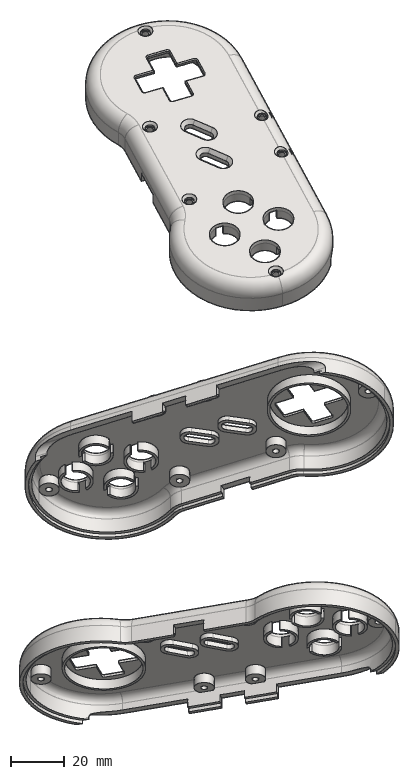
import cadquery as cq
import math


length = 145.5
height = 12.4
end_radius = 29.8
front_radius = 30.4
front_center_y = -0.7
front_edge_y = -25.5
blend_radius = 7.5
edge_fillet = 5.5
front_x = length / 2 - front_radius
side_x = front_x + math.sqrt(front_radius**2 - front_center_y**2)
end_x = side_x - end_radius

wall = 2.5
ceiling = 1.5
lip_wall = 1.3
lip_height = 1.5
inner_fillet = edge_fillet - wall

pad_x = -41.5
pad_span = 24.6
pad_arm = 8.7
pad_corner = 0.7
pad_chamfer = 0.5
pad_ring_outer = 31.1
pad_ring_inner = 29.2
ring_bottom = 6.8

button_x = 41.5
button_pitch_x = 13.5
button_pitch_y = 10.8
button_hole = 10.9
button_chamfer_width = 0.3
button_chamfer_depth = 1.5
button_ring_wall = 1.0
button_ring_outer = button_hole + 2 * button_ring_wall
key_slot = 3.0
buttons = [
    (button_x - button_pitch_x, 0, True),
    (button_x + button_pitch_x, 0, True),
    (button_x, button_pitch_y, False),
    (button_x, -button_pitch_y, False),
]

slot_centers_x = (-11.8, 3.8)
slot_angle = 38.0
slot_spacing = 7.7
slot_width = 4.0
slot_mouth = 7.0
slot_depth = 3.5
mouth_taper = 45

screw_points = [
    (-66.0, 0), (66.0, 0),
    (-10.0, 24.6), (10.0, 24.6),
    (-19.9, -16.5), (19.9, -16.5),
]
screw_hole = 2.5
screw_bore = 3.6
screw_mouth = 5.5
screw_bore_depth = 1.7
screw_boss = 7.5

front_notch_width = 11.8
notch_height = 4.4
cable_width = 9.6
shoulder_inner_x = 17.5
shoulder_front_y = 24.5
shoulder_height = 5.0
shoulder_corner = 2.6


def arc_point(center, radius, angle):
    """Point on a circle at an angle given in radians."""
    return (center[0] + radius * math.cos(angle), center[1] + radius * math.sin(angle))


def body_outline():
    """Closed outline of the body: two round ends joined by straight edges."""
    rear_center = (end_x, 0)
    front_center = (front_x, front_center_y)
    blend_center_y = front_edge_y - blend_radius
    rise = front_center_y - blend_center_y
    run = math.sqrt((front_radius + blend_radius) ** 2 - rise**2)
    blend_center = (front_x - run, blend_center_y)
    blend_angle = math.atan2(rise, run)
    front_angle = blend_angle - math.pi
    joint = arc_point(front_center, front_radius, front_angle)
    half = (
        cq.Workplane("XY")
        .moveTo(0, end_radius)
        .lineTo(end_x, end_radius)
        .threePointArc(arc_point(rear_center, end_radius, math.pi / 4), (side_x, 0))
        .threePointArc(arc_point(front_center, front_radius, front_angle / 2), joint)
        .threePointArc(
            arc_point(blend_center, blend_radius, (blend_angle + math.pi / 2) / 2),
            (blend_center[0], front_edge_y),
        )
        .lineTo(0, front_edge_y)
    )
    return half.mirrorY()


def box(x_size, y_min, y_max, z_size, x_center=0):
    """Box standing on the bottom rim plane."""
    return (
        cq.Workplane("XY")
        .center(x_center, (y_min + y_max) / 2)
        .rect(x_size, y_max - y_min)
        .extrude(z_size)
    )


def shell():
    """Hollow body with a thin lip along the bottom rim."""
    body = body_outline().extrude(height).faces(">Z").edges().fillet(edge_fillet)
    cavity = body_outline().offset2D(-wall).extrude(height - ceiling)
    cavity = cavity.faces(">Z").edges().fillet(inner_fillet)
    rebate = body_outline().offset2D(-lip_wall).extrude(lip_height)
    return body.cut(cavity).cut(rebate)


def ring(x, y, outer, inner):
    """Guide ring hanging from the ceiling around an opening."""
    return (
        cq.Workplane("XY", origin=(x, y, ring_bottom))
        .circle(outer / 2)
        .circle(inner / 2)
        .extrude(height - ceiling - ring_bottom)
    )


def pad_opening():
    """Cross-shaped opening with a chamfered top edge."""
    def arm(z, grow):
        outline = (
            cq.Sketch()
            .rect(pad_span + 2 * grow, pad_arm + 2 * grow)
            .vertices()
            .fillet(pad_corner + grow)
        )
        return cq.Workplane("XY", origin=(0, 0, z)).placeSketch(outline)

    bar = arm(0, 0).extrude(height)
    bar = bar.union(arm(height, pad_chamfer).extrude(-pad_chamfer, taper=mouth_taper))
    cross = bar.union(bar.rotate((0, 0, 0), (0, 0, 1), 90))
    return cross.translate((pad_x, 0, 0))


def button_opening(x, y, key_along_y):
    """Round opening with a steep chamfer at the top and two key slots below it."""
    mouth_z = height - button_chamfer_depth
    hole = cq.Workplane("XY", origin=(x, y, 0)).circle(button_hole / 2).extrude(height)
    mouth = cq.Solid.makeCone(
        button_hole / 2, button_hole / 2 + button_chamfer_width, button_chamfer_depth,
        cq.Vector(x, y, mouth_z), cq.Vector(0, 0, 1))
    key_size = (key_slot, button_ring_outer) if key_along_y else (button_ring_outer, key_slot)
    key = cq.Workplane("XY", origin=(x, y, 0)).rect(*key_size).extrude(mouth_z)
    return hole.union(cq.Workplane(mouth)).union(key)


def slot_collar(x):
    """Collar hanging from the ceiling that deepens a slanted slot."""
    return (
        cq.Workplane("XY", origin=(x, 0, height - slot_depth))
        .slot2D(slot_spacing + slot_mouth, slot_mouth, slot_angle)
        .extrude(slot_depth - ceiling)
    )


def slot_opening(x):
    """Slanted slot with a 45 degree funnel."""
    funnel = (slot_mouth - slot_width) / 2
    top = cq.Workplane("XY", origin=(x, 0, height)).slot2D(
        slot_spacing + slot_mouth, slot_mouth, slot_angle)
    through = cq.Workplane("XY", origin=(x, 0, 0)).slot2D(
        slot_spacing + slot_width, slot_width, slot_angle).extrude(height)
    return through.union(top.extrude(-funnel, taper=mouth_taper))


def screw_post(x, y):
    """Solid boss hanging from the ceiling around a screw hole."""
    post = cq.Workplane("XY", origin=(x, y, ring_bottom)).circle(screw_boss / 2)
    return post.extrude(height - ceiling - ring_bottom)


def screw_opening(x, y):
    """Countersunk and counterbored screw hole."""
    sink_z = height - (screw_mouth - screw_bore) / 2
    bore_z = height - screw_bore_depth
    half_profile = [
        (0, 0),
        (screw_hole / 2, 0),
        (screw_hole / 2, bore_z),
        (screw_bore / 2, bore_z),
        (screw_bore / 2, sink_z),
        (screw_mouth / 2, height),
        (0, height),
    ]
    return (
        cq.Workplane("XZ", origin=(x, y, 0))
        .polyline(half_profile)
        .close()
        .revolve(360, (0, 0, 0), (0, 1, 0))
    )


def shoulder_opening(side):
    """Opening for a shoulder button in the rear wall; side is -1 or 1 along X."""
    opening = box(
        length / 2 - shoulder_inner_x, shoulder_front_y, end_radius + wall, shoulder_height,
        side * (length / 2 + shoulder_inner_x) / 2)
    return opening.edges("|X and >Z and <Y").fillet(shoulder_corner)


result = shell()

result = result.union(ring(pad_x, 0, pad_ring_outer, pad_ring_inner))
result = result.cut(pad_opening())

for x, y, _ in buttons:
    result = result.union(ring(x, y, button_ring_outer, button_hole))
for x, y, key_along_y in buttons:
    result = result.cut(button_opening(x, y, key_along_y))

for x in slot_centers_x:
    result = result.union(slot_collar(x))
    result = result.cut(slot_opening(x))

for x, y in screw_points:
    result = result.union(screw_post(x, y))
    result = result.cut(screw_opening(x, y))

result = result.cut(box(
    front_notch_width, front_edge_y - wall, front_edge_y + 2 * wall, notch_height))
result = result.cut(box(cable_width, end_radius - 2 * wall, end_radius + wall, notch_height))
for side in (-1, 1):
    result = result.cut(shoulder_opening(side))